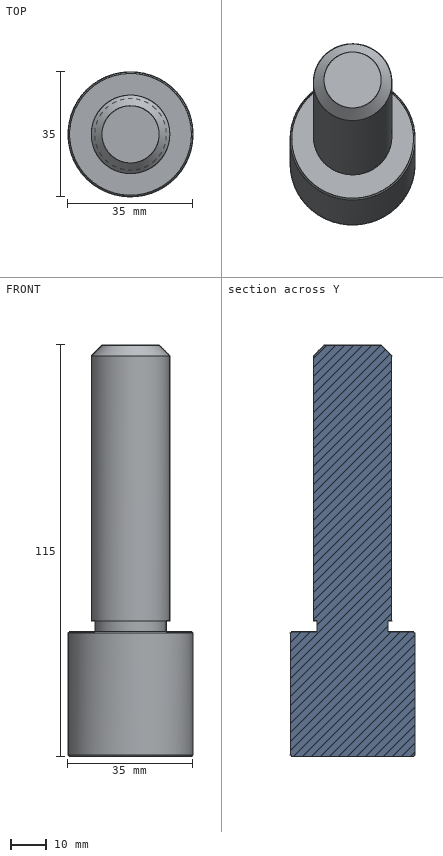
import cadquery as cq

total_length = 115.0

head_diameter = 35.0
head_height = 35.0
head_chamfer = 0.5

neck_diameter = 20.0
neck_height = 3.0

shank_diameter = 22.0
tip_chamfer = 3.0
shank_start = head_height + neck_height
shank_length = total_length - shank_start


def cylinder(diameter, height, base_z):
    """Cylinder on the Z axis, standing on base_z."""
    return cq.Workplane("XY").workplane(offset=base_z).circle(diameter / 2).extrude(height)


head = cylinder(head_diameter, head_height, 0).edges("%CIRCLE").chamfer(head_chamfer)

neck = cylinder(neck_diameter, neck_height, head_height)

shank = cylinder(shank_diameter, shank_length, shank_start).faces(">Z").edges().chamfer(tip_chamfer)

result = head.union(neck).union(shank)